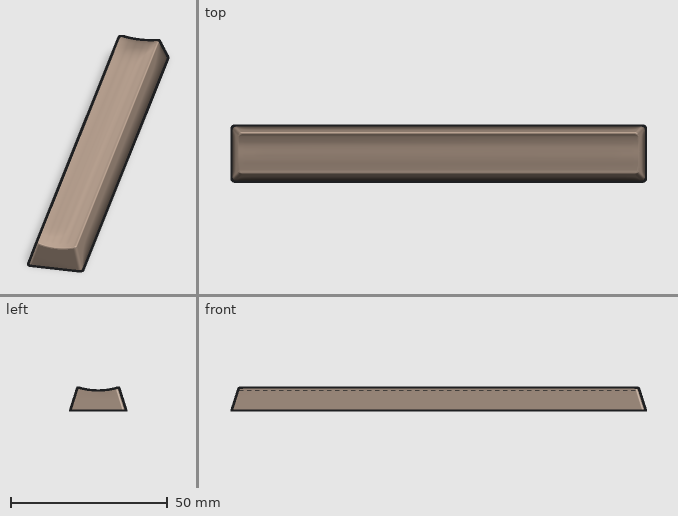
import cadquery as cq

length = 132.3
width = 18.0
wall_draft = 17.5
corner_radius = 1.3
rim_radius = 0.5
dish_radius = 21.2
dish_floor = 6.5
blank_height = 8.5


def tapered_blank():
    """Block with drafted walls and rounded sloping corners, standing on Z = 0."""
    block = cq.Workplane("XY").rect(length, width).extrude(blank_height, taper=wall_draft)
    sloping_corners = block.edges("not(#Z or |X or |Y)")
    return sloping_corners.fillet(corner_radius)


def dish_cutter():
    """Cylinder lying along X whose underside forms the dish."""
    axis_height = dish_floor + dish_radius
    return (
        cq.Workplane("YZ", origin=(-length / 2, 0, axis_height))
        .circle(dish_radius)
        .extrude(length)
    )


def round_rim(body):
    """Fillet the closed loop of edges around the dish."""
    dish_face = body.faces("%CYLINDER").faces(">Z")
    return dish_face.edges().fillet(rim_radius)


dished_block = tapered_blank().cut(dish_cutter())
result = round_rim(dished_block)